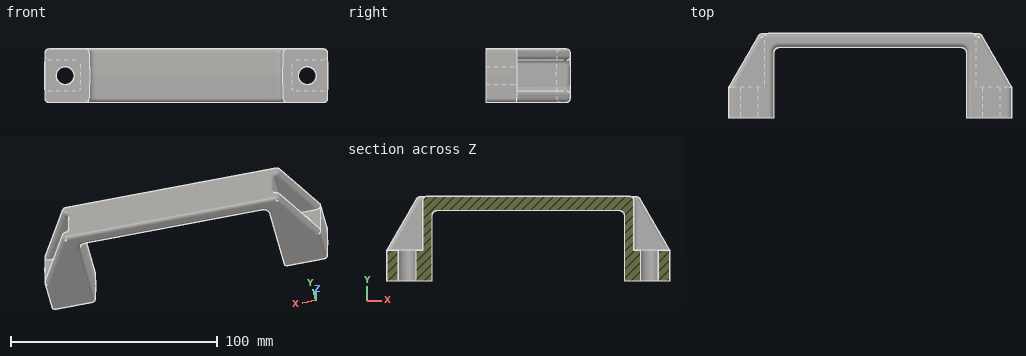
import cadquery as cq
import math

length = 137.0
depth = 41.0
height = 26.0

leg_width = 22.0
grip_thickness = 7.0
shoulder_y = 15.0
shoulder_angle = math.radians(60)

outer_draft = 1.0
opening_draft = 2.0

hole_spacing = 117.0
hole_diameter = 8.5
recess_width = 15.0
recess_wall_x = 51.0
recess_corner_radius = 2.0
recess_lip_radius = 2.0

edge_radius = 2.0
opening_corner_radius = 2.5
shoulder_radius = 2.2

foot_stock = 5.0
pick_margin = 1.0

half_length = length / 2
half_height = height / 2
opening_length = length - 2 * leg_width
opening_depth = depth - grip_thickness
top_half_length = half_length - (depth - shoulder_y) / math.tan(shoulder_angle)


def outer_half(direction):
    """Half of the sloping-shouldered block, narrowing away from the parting plane."""
    outline = [
        (-half_length, -foot_stock),
        (half_length, -foot_stock),
        (half_length, shoulder_y),
        (top_half_length, depth),
        (-top_half_length, depth),
        (-half_length, shoulder_y),
    ]
    shoulder_corners = cq.selectors.BoxSelector(
        (-half_length, depth - pick_margin, pick_margin - half_height),
        (half_length, depth + pick_margin, half_height - pick_margin),
    )
    return (
        cq.Workplane("XY")
        .polyline(outline)
        .close()
        .extrude(direction * half_height, taper=outer_draft)
        .edges("not (|X or |Y)")
        .edges(shoulder_corners)
        .fillet(shoulder_radius)
    )


def opening_half(direction):
    """Half of the hand opening, widening away from the parting plane."""
    outline = (
        cq.Sketch()
        .rect(opening_length, 2 * opening_depth)
        .vertices(">Y")
        .fillet(opening_corner_radius)
    )
    return (
        cq.Workplane("XY")
        .placeSketch(outline)
        .extrude(direction * half_height, taper=-opening_draft)
    )


def handle_body():
    """Drafted U-shaped handle with flat feet and rounded rims."""
    body = outer_half(1).union(outer_half(-1))
    for direction in (-1, 1):
        body = body.cut(opening_half(direction))
    above_feet = cq.Workplane("XY").box(length, depth, height).translate((0, depth / 2, 0))
    body = body.intersect(above_feet)
    return body.faces("<Z or >Z").edges("not <Y").fillet(edge_radius)


def cut_recess(body, side):
    """Cut a screw-head pocket into one sloping shoulder and round its lip."""
    pocket_length = half_length - recess_wall_x
    pocket_depth = depth - shoulder_y
    pocket_center = (side * (recess_wall_x + pocket_length / 2), shoulder_y + pocket_depth / 2, 0)
    pocket = (
        cq.Workplane("XY")
        .box(pocket_length, pocket_depth, recess_width)
        .edges("|Y")
        .edges("<X" if side > 0 else ">X")
        .fillet(recess_corner_radius)
        .translate(pocket_center)
    )
    half_pick_width = recess_width / 2 + pick_margin
    lip = cq.selectors.BoxSelector(
        (side * (recess_wall_x - pick_margin), shoulder_y + pick_margin, -half_pick_width),
        (side * half_length, depth + pick_margin, half_pick_width),
    )
    return body.cut(pocket).edges("not |Y").edges(lip).fillet(recess_lip_radius)


def drill_holes(body):
    """Drill one mounting hole through each foot up to its recess."""
    centers = [(-hole_spacing / 2, 0), (hole_spacing / 2, 0)]
    drills = cq.Workplane("XZ").pushPoints(centers).circle(hole_diameter / 2).extrude(-depth)
    return body.cut(drills)


handle = handle_body()
for end in (-1, 1):
    handle = cut_recess(handle, end)
result = drill_holes(handle)